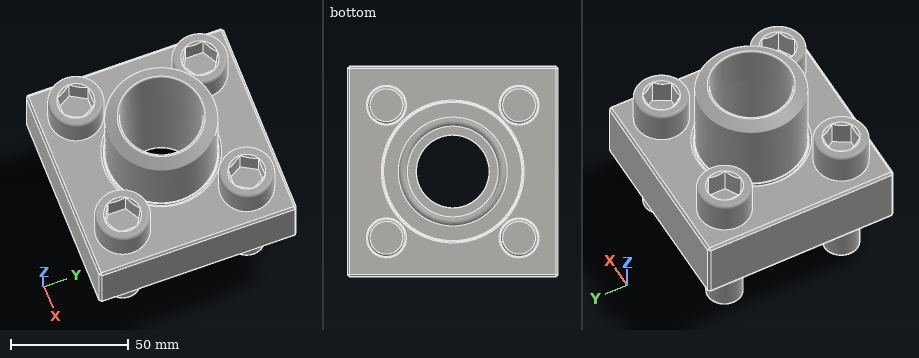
import cadquery as cq
import math


PLATE_SIDE = 90.0
PLATE_THICKNESS = 29.0
PLATE_CHAMFER = 1.0
PLATE_BORE_DIA = 49.5
PLATE_RECESS_DIA = 61.0
RECESS_DEPTH = 14.0

OVERALL_HEIGHT = 92.0
TUBE_DIA = 48.3
FOOT_DIA = 49.0
FOOT_RISE = 0.3
TUBE_BORE_DIA = 35.7
TUBE_BORE_DEPTH = 18.4
RIM_DIA = 37.5
BEVEL_ANGLE = 30.0
WELD_END_ROUND = 0.5
THROAT_DIA = 31.0
COLLAR_DIA = 60.0
COLLAR_CHAMFER = 0.5
COLLAR_PROTRUSION = 2.0

GROOVE_INNER_DIA = 38.7
GROOVE_OUTER_DIA = 46.5
SEAL_PROTRUSION = 1.1

SCREW_CIRCLE_DIA = 80.0
SCREW_COUNT = 4
FIRST_SCREW_ANGLE = 45.0
SCREW_HOLE_DIA = 17.0
SHANK_DIA = 16.0
SCREW_LENGTH = 55.0
TIP_CHAMFER = 1.0
HEAD_DIA = 24.0
HEAD_HEIGHT = 16.0
HEAD_TOP_FILLET = 1.6
HEAD_BASE_FILLET = 1.3
SOCKET_CORNER_DIA = 16.2
SOCKET_DEPTH = 12.0
SOCKET_LEAD_IN_ANGLE = 45.0

EDGE_MARGIN = 0.1

SCREW_TIP_Z = PLATE_THICKNESS - SCREW_LENGTH
TUBE_TOP_Z = SCREW_TIP_Z + OVERALL_HEIGHT
BEVEL_HEIGHT = (TUBE_DIA - RIM_DIA) / 2 * math.tan(math.radians(BEVEL_ANGLE))
SEAL_SECTION_DIA = (GROOVE_OUTER_DIA - GROOVE_INNER_DIA) / 2
GROOVE_DEPTH = SEAL_SECTION_DIA - SEAL_PROTRUSION
SOCKET_FLAT_RADIUS = SOCKET_CORNER_DIA / 2 * math.cos(math.pi / 6)
SOCKET_LEAD_IN_DEPTH = (SOCKET_CORNER_DIA / 2 - SOCKET_FLAT_RADIUS) * math.tan(
    math.radians(SOCKET_LEAD_IN_ANGLE)
)


def revolve_profile(points):
    """Turn a closed (radius, height) outline about the Z axis."""
    return cq.Workplane("XZ").polyline(points).close().revolve(360, (0, 0, 0), (0, 1, 0))


def ring_edge(diameter, height):
    """Select the circular edge of a turned body at a given diameter and height."""
    reach = diameter / 2 + EDGE_MARGIN
    return cq.selectors.BoxSelector(
        (-reach, -reach, height - EDGE_MARGIN),
        (reach, reach, height + EDGE_MARGIN),
        boundingbox=True,
    )


def make_plate():
    """Square plate with a stepped bore for the nipple and clearance holes for the screws."""
    plate = (
        cq.Workplane("XY")
        .box(PLATE_SIDE, PLATE_SIDE, PLATE_THICKNESS, centered=(True, True, False))
        .edges()
        .chamfer(PLATE_CHAMFER)
    )
    bore = (
        cq.Workplane("XY")
        .circle(PLATE_BORE_DIA / 2)
        .extrude(PLATE_THICKNESS)
    )
    recess = cq.Workplane("XY").circle(PLATE_RECESS_DIA / 2).extrude(RECESS_DEPTH)
    screw_holes = (
        cq.Workplane("XY")
        .polarArray(SCREW_CIRCLE_DIA / 2, FIRST_SCREW_ANGLE, 360, SCREW_COUNT)
        .circle(SCREW_HOLE_DIA / 2)
        .extrude(PLATE_THICKNESS)
    )
    bore_entry = revolve_profile([
        (0, PLATE_THICKNESS - PLATE_CHAMFER),
        (PLATE_BORE_DIA / 2, PLATE_THICKNESS - PLATE_CHAMFER),
        (PLATE_BORE_DIA / 2 + PLATE_CHAMFER, PLATE_THICKNESS),
        (0, PLATE_THICKNESS),
    ])
    return plate.cut(bore).cut(recess).cut(screw_holes).cut(bore_entry)


def make_nipple():
    """Tube with a bevelled weld end, a tapering bore and a grooved collar at its foot."""
    body = revolve_profile([
        (THROAT_DIA / 2, -COLLAR_PROTRUSION),
        (COLLAR_DIA / 2 - COLLAR_CHAMFER, -COLLAR_PROTRUSION),
        (COLLAR_DIA / 2, COLLAR_CHAMFER - COLLAR_PROTRUSION),
        (COLLAR_DIA / 2, RECESS_DEPTH),
        (FOOT_DIA / 2, RECESS_DEPTH),
        (FOOT_DIA / 2, PLATE_THICKNESS + FOOT_RISE),
        (TUBE_DIA / 2, PLATE_THICKNESS + FOOT_RISE),
        (TUBE_DIA / 2, TUBE_TOP_Z - BEVEL_HEIGHT),
        (RIM_DIA / 2, TUBE_TOP_Z),
        (TUBE_BORE_DIA / 2, TUBE_TOP_Z),
        (TUBE_BORE_DIA / 2, TUBE_TOP_Z - TUBE_BORE_DEPTH),
    ])
    body = body.edges(ring_edge(TUBE_DIA, TUBE_TOP_Z - BEVEL_HEIGHT)).fillet(WELD_END_ROUND)
    body = body.edges(ring_edge(TUBE_BORE_DIA, TUBE_TOP_Z)).fillet(WELD_END_ROUND)
    seal_groove = (
        cq.Workplane("XY", origin=(0, 0, -COLLAR_PROTRUSION))
        .circle(GROOVE_OUTER_DIA / 2)
        .circle(GROOVE_INNER_DIA / 2)
        .extrude(GROOVE_DEPTH)
    )
    return body.cut(seal_groove)


def make_seal_ring():
    """O-ring that fills the groove width and stands proud of the collar face."""
    section_radius = SEAL_SECTION_DIA / 2
    section_center_radius = GROOVE_INNER_DIA / 2 + section_radius
    section_center_z = section_radius - COLLAR_PROTRUSION - SEAL_PROTRUSION
    return (
        cq.Workplane("XZ")
        .center(section_center_radius, section_center_z)
        .circle(section_radius)
        .revolve(360, (-section_center_radius, 0, 0), (-section_center_radius, 1, 0))
    )


def make_socket():
    """Hexagonal key socket with a conical lead-in, opening at the top of the screw head."""
    head_top_z = PLATE_THICKNESS + HEAD_HEIGHT
    hexagon = (
        cq.Workplane("XY", origin=(0, 0, head_top_z - SOCKET_DEPTH))
        .polygon(6, SOCKET_CORNER_DIA)
        .extrude(SOCKET_DEPTH)
    )
    lead_in = revolve_profile([
        (0, head_top_z - SOCKET_LEAD_IN_DEPTH),
        (SOCKET_FLAT_RADIUS, head_top_z - SOCKET_LEAD_IN_DEPTH),
        (SOCKET_CORNER_DIA / 2, head_top_z),
        (0, head_top_z),
    ])
    return hexagon.union(lead_in)


def make_screw(index):
    """Socket head screw at one position of the screw circle, turned with that position."""
    shank = (
        cq.Workplane("XY", origin=(0, 0, SCREW_TIP_Z))
        .circle(SHANK_DIA / 2)
        .extrude(SCREW_LENGTH)
        .faces("<Z")
        .edges()
        .chamfer(TIP_CHAMFER)
    )
    head = (
        cq.Workplane("XY", origin=(0, 0, PLATE_THICKNESS))
        .circle(HEAD_DIA / 2)
        .extrude(HEAD_HEIGHT)
        .faces(">Z")
        .edges()
        .fillet(HEAD_TOP_FILLET)
        .faces("<Z")
        .edges()
        .fillet(HEAD_BASE_FILLET)
    )
    turn = index * 360 / SCREW_COUNT
    position_angle = math.radians(FIRST_SCREW_ANGLE + turn)
    position = (
        SCREW_CIRCLE_DIA / 2 * math.cos(position_angle),
        SCREW_CIRCLE_DIA / 2 * math.sin(position_angle),
        0,
    )
    screw = shank.union(head).cut(make_socket())
    return screw.rotate((0, 0, 0), (0, 0, 1), turn).translate(position)


plate = make_plate()
nipple = make_nipple()
seal_ring = make_seal_ring()
screws = [make_screw(index) for index in range(SCREW_COUNT)]

result = cq.Compound.makeCompound([
    plate.val(),
    nipple.val(),
    seal_ring.val(),
    *[screw.val() for screw in screws],
])